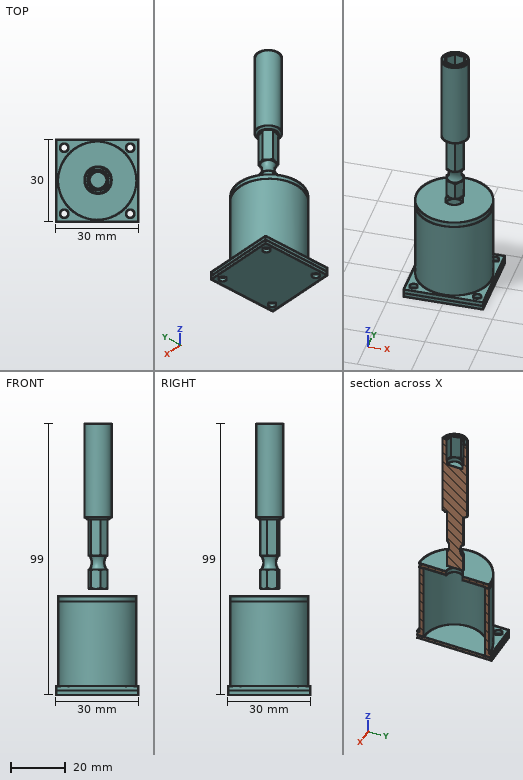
import cadquery as cq
import math

flange_side = 30.0
base_thickness = 1.6
flange_thickness = 1.7
flange_top = base_thickness + flange_thickness
screw_diameter = 3.0
screw_spacing = 24.0

drum_diameter = 28.5
drum_bore_diameter = 24.5
cap_thickness = 2.0
cap_top = 36.0
cap_bottom = cap_top - cap_thickness
cap_hole_diameter = 6.5

holder_x = 0.3
holder_y = 0.2
holder_top = 98.95
sleeve_bottom = 64.8
shank_top = 64.0
shank_bottom = 38.6
sleeve_diameter = 10.0
sleeve_foot_diameter = 7.7
sleeve_rim_chamfer = 0.3
hex_flats = 6.3
hex_corner_diameter = hex_flats / math.cos(math.pi / 6)
hex_turn = 45.0
shank_end_chamfer = 0.5
neck_diameter = 4.7
neck_end_diameter = 6.1
neck_corner_chamfer = 0.3
neck_top = 50.7
neck_bottom = 45.8
socket_depth = 9.9
socket_mouth_diameter = 7.5
socket_mouth_depth = 0.3
socket_pocket_diameter = 6.1
socket_pocket_depth = 2.0


def make_flange(bottom, thickness):
    """Square plate with a screw hole near each corner."""
    return (
        cq.Workplane("XY", origin=(0, 0, bottom))
        .rect(flange_side, flange_side)
        .extrude(thickness)
        .faces(">Z").workplane()
        .rect(screw_spacing, screw_spacing, forConstruction=True)
        .vertices()
        .hole(screw_diameter)
    )


def make_housing():
    """Flange carrying the hollow drum, bored through from the cap to the base plate."""
    drum = (
        cq.Workplane("XY", origin=(0, 0, flange_top))
        .circle(drum_diameter / 2)
        .extrude(cap_bottom - flange_top)
    )
    bore = (
        cq.Workplane("XY", origin=(0, 0, base_thickness))
        .circle(drum_bore_diameter / 2)
        .extrude(cap_bottom - base_thickness)
    )
    return make_flange(base_thickness, flange_thickness).union(drum).cut(bore)


def make_cap():
    """Disc with a central hole for the bit holder."""
    return (
        cq.Workplane("XY", origin=(0, 0, cap_bottom))
        .circle(drum_diameter / 2)
        .circle(cap_hole_diameter / 2)
        .extrude(cap_thickness)
    )


def hex_bar(bottom, top):
    """Hexagonal prism on the Z axis."""
    return (
        cq.Workplane("XY", origin=(0, 0, bottom))
        .transformed(rotate=(0, 0, hex_turn))
        .polygon(6, hex_corner_diameter)
        .extrude(top - bottom)
    )


def turned_envelope():
    """Revolved outside of the holder: chamfered shank end, waisted neck, sleeve."""
    corner_radius = hex_corner_diameter / 2
    neck_end_radius = neck_end_diameter / 2
    sleeve_radius = sleeve_diameter / 2
    return (
        cq.Workplane("XZ")
        .moveTo(0, shank_bottom)
        .lineTo(corner_radius - shank_end_chamfer, shank_bottom)
        .lineTo(corner_radius, shank_bottom + shank_end_chamfer)
        .lineTo(corner_radius, neck_bottom - neck_corner_chamfer)
        .lineTo(neck_end_radius, neck_bottom)
        .threePointArc(
            (neck_diameter / 2, (neck_bottom + neck_top) / 2),
            (neck_end_radius, neck_top),
        )
        .lineTo(corner_radius, neck_top + neck_corner_chamfer)
        .lineTo(corner_radius, shank_top)
        .lineTo(sleeve_foot_diameter / 2, shank_top)
        .lineTo(sleeve_radius, sleeve_bottom)
        .lineTo(sleeve_radius, holder_top - sleeve_rim_chamfer)
        .lineTo(sleeve_radius - sleeve_rim_chamfer, holder_top)
        .lineTo(0, holder_top)
        .close()
        .revolve(360, (0, 0, 0), (0, 1, 0))
    )


def make_bit_holder():
    """Hexagonal shank with a turned neck, under a sleeve with a hexagonal socket and round pocket."""
    sleeve_blank = (
        cq.Workplane("XY", origin=(0, 0, shank_top))
        .circle(sleeve_diameter / 2)
        .extrude(holder_top - shank_top)
    )
    blank = hex_bar(shank_bottom, shank_top).union(sleeve_blank)
    socket = hex_bar(holder_top - socket_depth, holder_top)
    pocket = (
        cq.Workplane("XY", origin=(0, 0, holder_top - socket_depth))
        .circle(socket_pocket_diameter / 2)
        .extrude(-socket_pocket_depth)
    )
    mouth = (
        cq.Workplane("XY", origin=(0, 0, holder_top))
        .circle(socket_mouth_diameter / 2)
        .workplane(offset=-socket_mouth_depth)
        .circle(hex_flats / 2)
        .loft()
    )
    holder = turned_envelope().intersect(blank).cut(socket).cut(pocket).cut(mouth)
    return holder.translate((holder_x, holder_y, 0))


base_plate = make_flange(0, base_thickness)
housing = make_housing()
cap = make_cap()
bit_holder = make_bit_holder()

result = cq.Compound.makeCompound([
    base_plate.val(),
    housing.val(),
    cap.val(),
    bit_holder.val(),
])